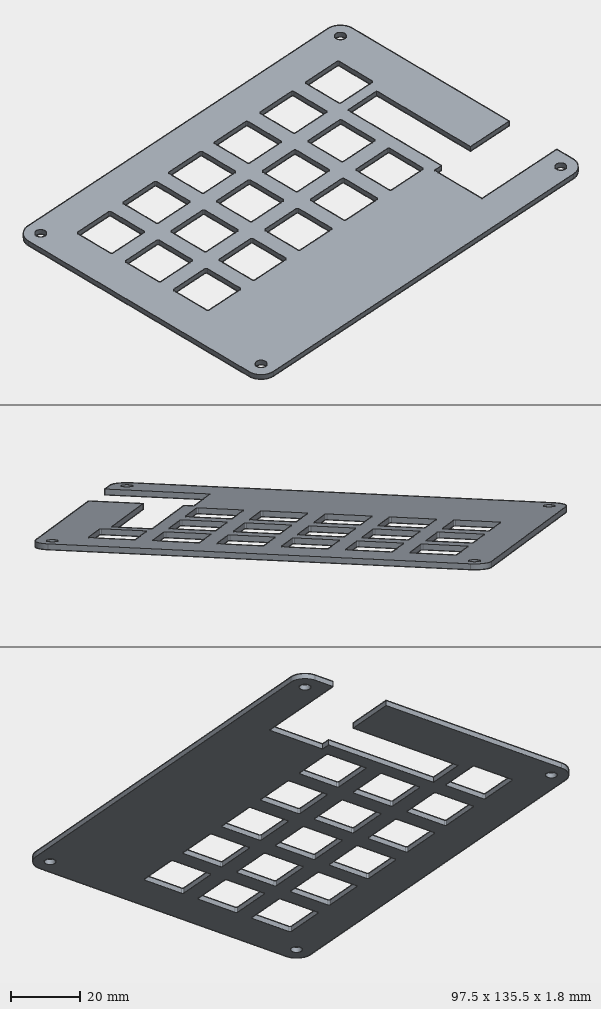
import cadquery as cq

width = 97.5
height = 135.5
thickness = 1.8
corner_radius = 5.0

screw_diameter = 3.4
screw_spacing_x = width - 2 * corner_radius
screw_spacing_y = height - 2 * corner_radius

key_size = 14.0
key_corner_radius = 0.5
key_rows = 6
key_columns = 3
key_pitch = 19.1
first_key_from_left = 19.4
first_key_from_top = 20.7

notch_left = 67.3
notch_right = 86.2
slot_left = 30.1
notch_depth = 31.3
slot_top = 16.3
slot_bottom = 28.3

left_edge = -width / 2
top_edge = height / 2


def key_centers():
    """Key positions: a full grid, but the top row holds only its left key."""
    centers = []
    for row in range(key_rows):
        columns_in_row = 1 if row == 0 else key_columns
        for column in range(columns_in_row):
            x = left_edge + first_key_from_left + column * key_pitch
            y = top_edge - first_key_from_top - row * key_pitch
            centers.append((x, y))
    return centers


def make_plate():
    return (
        cq.Workplane("XY")
        .rect(width, height)
        .extrude(thickness)
        .edges("|Z")
        .fillet(corner_radius)
    )


def make_screw_holes():
    return (
        cq.Workplane("XY")
        .rect(screw_spacing_x, screw_spacing_y, forConstruction=True)
        .vertices()
        .circle(screw_diameter / 2)
        .extrude(thickness)
    )


def make_key_openings():
    return (
        cq.Workplane("XY")
        .pushPoints(key_centers())
        .rect(key_size, key_size)
        .extrude(thickness)
        .edges("|Z")
        .fillet(key_corner_radius)
    )


def make_notch_and_slot():
    outline = [
        (notch_left, 0),
        (notch_right, 0),
        (notch_right, -notch_depth),
        (notch_left, -notch_depth),
        (notch_left, -slot_bottom),
        (slot_left, -slot_bottom),
        (slot_left, -slot_top),
        (notch_left, -slot_top),
    ]
    return (
        cq.Workplane("XY", origin=(left_edge, top_edge, 0))
        .polyline(outline)
        .close()
        .extrude(thickness)
    )


result = (
    make_plate()
    .cut(make_screw_holes())
    .cut(make_key_openings())
    .cut(make_notch_and_slot())
)